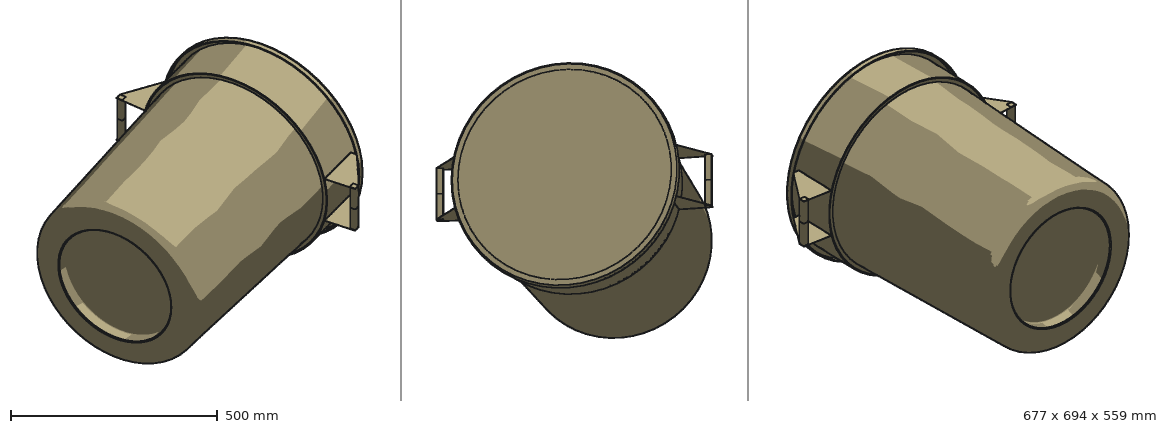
import cadquery as cq
length = 694.0
body_base_radius = 231.0
body_top_radius = 249.0
base_fillet = 26.0

band_radius = 263.0
band_depth = 140.0
skirt_recess = 2.0

rim_radius = 279.5
rim_height = 19.0
rim_fillet = 5.0
edge_wall = 3.0

recess_radius = 158.0
recess_depth = 31.0
small_fillet = 3.0

handle_reach = 677.0 / 2
handle_half_width = 64.5
plate_thickness = 1.0
plate_root_radius = 272.0
grip_width = 16.0
grip_top_depth = 118.5
grip_bottom_depth = 134.0
plate_tip_depth = 135.0

band_base = length - band_depth
rim_base = length - rim_height
grip_top = length - grip_top_depth
grip_bottom = length - grip_bottom_depth
plate_tip = length - plate_tip_depth


def cylinder(radius, start, end):
    """Cylinder about the Y axis from y = start to y = end."""
    return cq.Workplane("XZ", origin=(0, start, 0)).circle(radius).extrude(start - end)


def ring(outer_radius, inner_radius, start, end):
    """Ring about the Y axis from y = start to y = end."""
    return cylinder(outer_radius, start, end).cut(cylinder(inner_radius, start, end))


def make_drum():
    """Tapered body, band and rim as one turned solid with rounded ends."""
    outline = (
        cq.Workplane("XY")
        .lineTo(body_base_radius, 0)
        .lineTo(body_top_radius, band_base)
        .lineTo(band_radius, band_base)
        .lineTo(band_radius, rim_base)
        .lineTo(rim_radius, rim_base)
        .lineTo(rim_radius, length)
        .lineTo(0, length)
        .close()
    )
    drum = outline.revolve(360, (0, 0, 0), (0, 1, 0))
    drum = drum.faces("<Y").edges().fillet(base_fillet)
    return drum.faces(">Y").edges().fillet(rim_fillet)


def make_base_recess():
    """Cutter for the base recess, rounded at its floor and flared at its mouth."""
    pocket = cylinder(recess_radius, 0, recess_depth)
    pocket = pocket.faces(">Y").edges().fillet(small_fillet)
    mouth_radius = recess_radius + small_fillet
    flare = (
        cq.Workplane("XY")
        .lineTo(mouth_radius, 0)
        .radiusArc((recess_radius, small_fillet), -small_fillet)
        .lineTo(0, small_fillet)
        .close()
        .revolve(360, (0, 0, 0), (0, 1, 0))
    )
    return pocket.union(flare)


def make_bin():
    rim_hollow = ring(rim_radius - edge_wall, band_radius, rim_base, length - edge_wall)
    skirt_hollow = ring(band_radius - edge_wall, body_top_radius, band_base, band_base + skirt_recess)
    return make_drum().cut(make_base_recess()).cut(rim_hollow).cut(skirt_hollow)


def make_side_plate(x_side, z_side):
    """Thin side plate that slopes from under the rim to the grip and ends on the band."""
    profile = [
        (0, rim_base),
        (x_side * plate_root_radius, rim_base),
        (x_side * handle_reach, grip_top),
        (x_side * handle_reach, plate_tip),
        (x_side * band_radius, band_base),
        (0, band_base),
    ]
    inner_z = z_side * (handle_half_width - plate_thickness)
    plate = (
        cq.Workplane("XY", origin=(0, 0, inner_z))
        .polyline(profile)
        .close()
        .extrude(z_side * plate_thickness)
    )
    return plate.cut(cylinder(band_radius, band_base, rim_base))


def make_grip_half(x_side, z_side):
    """Half of a grip, from the middle of the handle to the inner face of a side plate."""
    half_length = handle_half_width - plate_thickness
    center = (
        x_side * (handle_reach - grip_width / 2),
        (grip_top + grip_bottom) / 2,
        z_side * half_length / 2,
    )
    bar = cq.Workplane("XY").box(grip_width, grip_top - grip_bottom, half_length)
    return bar.faces("<Y").edges("|Z").fillet(small_fillet).translate(center)


trash_bin = make_bin()
side_plates = []
grip_halves = []
for x_side in (-1, 1):
    for z_side in (-1, 1):
        side_plates.append(make_side_plate(x_side, z_side).val())
        grip_halves.append(make_grip_half(x_side, z_side).val())

result = cq.Compound.makeCompound([trash_bin.val(), *side_plates, *grip_halves])